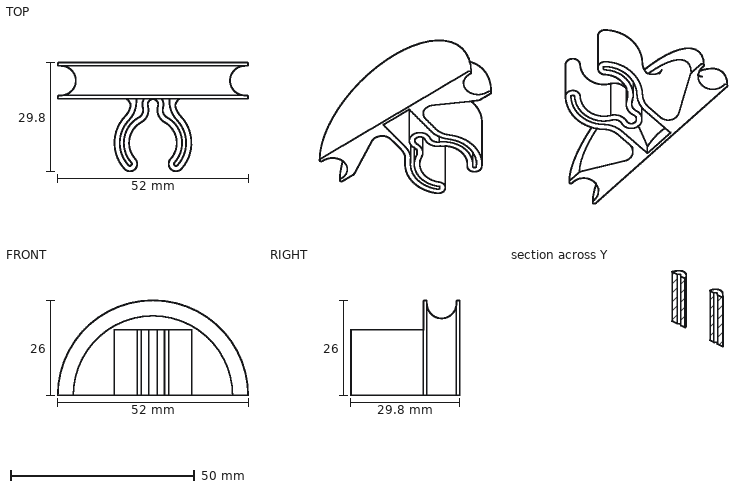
import cadquery as cq
import math

rim_radius = 26.0
ring_width = 10.0
rim_fillet = 0.45
groove_radius = 4.0
groove_floor_radius = 21.05

recess_radius = 21.55
recess_depth = 9.1
recess_angle = 30.0
mouth_radius = 21.75
mouth_angle = 20.0
mouth_cut_depth = 0.5

clip_height = 18.0
band = 1.5
tip_radius = 2.05
grip_y = -12.0
grip_mid_radius = 8.5
tip_x = 6.3
loop_y = -1.5
loop_radius = 2.9
neck_radius = 2.35
neck_y = -3.0
leg_x = 6.0
leg_bend_y = -0.7
root_fillet = 3.0
root_front_y = -2.6
root_reach = 15.6
root_limit_radius = 20.8
recess_front_y = 4 * root_front_y

half_band = band / 2
tip_mid_radius = tip_radius - half_band
outer_grip = grip_mid_radius + tip_mid_radius
inner_grip = grip_mid_radius - tip_mid_radius
loop_mid_radius = loop_radius - half_band
neck_mid_radius = neck_radius + half_band

neck_x = math.sqrt((loop_mid_radius + neck_mid_radius) ** 2 - (neck_y - loop_y) ** 2)
leg_mid_x = leg_x - half_band
bend_rise = leg_bend_y - grip_y
bend_mid_radius = (leg_mid_x**2 + bend_rise**2 - outer_grip**2) / (2 * (outer_grip - leg_mid_x))
bend_x = leg_mid_x + bend_mid_radius

tip_angle = -math.degrees(math.acos(tip_x / grip_mid_radius))
tip_y = grip_y + grip_mid_radius * math.sin(math.radians(tip_angle))
bend_angle = math.degrees(math.atan2(bend_rise, bend_x))
neck_angle = math.degrees(math.atan2(neck_y - grip_y, neck_x))
loop_angle = math.degrees(math.atan2(neck_y - loop_y, neck_x))


def polar(center, radius, angle):
    turn = math.radians(angle)
    return (center[0] + radius * math.cos(turn), center[1] + radius * math.sin(turn))


def band_arc(center, mid_radius, start, end):
    """A curved stretch of the clip band between two directions."""
    middle = (start + end) / 2
    outer = mid_radius + half_band
    inner = mid_radius - half_band
    return (
        cq.Workplane("XY")
        .moveTo(*polar(center, outer, start))
        .threePointArc(polar(center, outer, middle), polar(center, outer, end))
        .lineTo(*polar(center, inner, end))
        .threePointArc(polar(center, inner, middle), polar(center, inner, start))
        .close()
        .extrude(clip_height)
    )


def box_between(x, y, z):
    """A box given by its (low, high) limits along each axis."""
    size = [high - low for low, high in (x, y, z)]
    return cq.Workplane("XY").box(*size, centered=False).translate((x[0], y[0], z[0]))


def recess_cone(front_y):
    """Flat-bottomed cone of the recess, reaching forward to front_y."""
    slope = math.tan(math.radians(recess_angle))
    front_radius = recess_radius - front_y / slope
    floor_radius = recess_radius - recess_depth / slope
    return (
        cq.Workplane("XY")
        .polyline([(0, front_y), (front_radius, front_y), (floor_radius, recess_depth), (0, recess_depth)])
        .close()
        .revolve(360, (0, 0), (0, 1))
    )


def ring_blank():
    """The +X quarter of the ring, with its leg and root still buried in a solid block."""
    disc = cq.Workplane("XZ").circle(rim_radius).extrude(-ring_width)
    groove_center = groove_floor_radius + groove_radius
    mid_y = ring_width / 2
    groove = (
        cq.Workplane("XY")
        .moveTo(rim_radius, mid_y - groove_radius)
        .lineTo(groove_center, mid_y - groove_radius)
        .threePointArc((groove_floor_radius, mid_y), (groove_center, mid_y + groove_radius))
        .lineTo(rim_radius, mid_y + groove_radius)
        .close()
        .revolve(360, (0, 0), (0, 1))
    )
    mouth_end_radius = mouth_radius - mouth_cut_depth / math.tan(math.radians(mouth_angle))
    mouth = (
        cq.Workplane("XY")
        .polyline([(0, 0), (mouth_radius, 0), (mouth_end_radius, mouth_cut_depth), (0, mouth_cut_depth)])
        .close()
        .revolve(360, (0, 0), (0, 1))
    )
    inside_groove = cq.Workplane("XZ").circle(root_limit_radius).extrude(2 * root_front_y, both=True)
    root_blank = box_between((0, root_reach), (root_front_y, mouth_cut_depth), (0, clip_height))
    quadrant = box_between((0, rim_radius), (root_front_y, ring_width), (0, rim_radius))
    rim_edges = cq.selectors.RadiusNthSelector(-1)
    ring = disc.cut(groove).edges(rim_edges).fillet(rim_fillet).cut(mouth)
    return ring.union(root_blank.intersect(inside_groove)).intersect(quadrant)


def recess_beside_leg():
    """Recess on the +X side of the outer leg, rounded where the leg meets the cone."""
    limit = 2 * rim_radius
    beside_leg = box_between((leg_x, limit), (recess_front_y, ring_width), (-limit, limit))
    void = recess_cone(recess_front_y).intersect(beside_leg)
    corner = void.faces("<X").edges(">Y")
    return corner.fillet(root_fillet)


def recess_between_legs():
    """Recess between the straight leg ends, widened where the legs start to bend."""
    gap_x = leg_x - band
    height = (-clip_height, clip_height)
    gap = box_between((-gap_x, gap_x), (recess_front_y, ring_width), height)
    bends = box_between((-leg_x, leg_x), (recess_front_y, leg_bend_y), height)
    return gap.union(bends).intersect(recess_cone(recess_front_y))


def recess_above_clip():
    """Full cone above the flat top of the clip."""
    limit = 2 * rim_radius
    above = box_between((-limit, limit), (recess_front_y, ring_width), (clip_height, limit))
    return recess_cone(recess_front_y).intersect(above)


def recessed_ring():
    """The +X quarter of the ring with its recess and straight leg end."""
    ring = ring_blank().cut(recess_beside_leg())
    return ring.cut(recess_between_legs()).cut(recess_above_clip())


def clip_side():
    """The +X half of the clip, from the neck round the tip to the outer leg bend."""
    grip = (0, grip_y)
    parts = [
        band_arc((neck_x, neck_y), neck_mid_radius, 180 + loop_angle, 180 + neck_angle),
        band_arc(grip, inner_grip, tip_angle, neck_angle),
        band_arc((tip_x, tip_y), tip_mid_radius, tip_angle - 180, tip_angle),
        band_arc(grip, outer_grip, tip_angle, bend_angle),
        band_arc((bend_x, leg_bend_y), bend_mid_radius, 180, 180 + bend_angle),
    ]
    side = parts[0]
    for part in parts[1:]:
        side = side.union(part)
    return side


right_side = recessed_ring().union(clip_side())
loop = band_arc((0, loop_y), loop_mid_radius, loop_angle, 180 - loop_angle)
result = right_side.union(right_side.mirror("YZ")).union(loop)